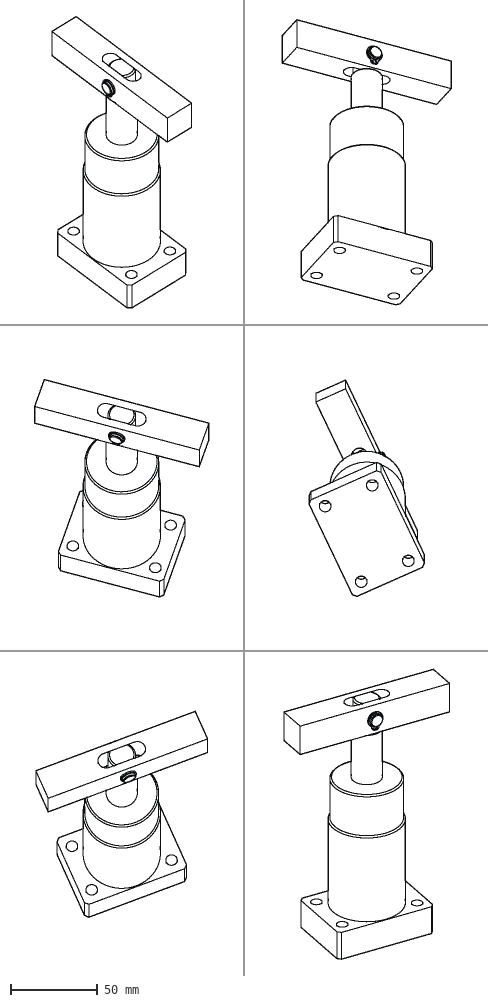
import cadquery as cq

base_length = 64.0
base_width = 46.0
base_height = 18.0
corner_chamfer = 2.0
bolt_hole_diameter = 6.7
bolt_spacing_x = 50.0
bolt_spacing_y = 30.0
barrel_diameter = 45.0
barrel_top = 75.0
head_diameter = 43.0
head_top = 102.0
edge_chamfer = (barrel_diameter - head_diameter) / 2

overall_height = 155.0
arm_length = 100.0
arm_size = 19.0
arm_bottom = overall_height - arm_size
slot_length = 29.0
slot_width = 9.5

rod_diameter = 18.1
tongue_diameter = rod_diameter - 2 * edge_chamfer

pin_diameter = 8.0
pin_length = 24.3
pin_chamfer = 0.5
pin_height = arm_bottom + arm_size / 2

clip_thickness = 0.85
clip_clearance = 0.08
clip_diameter = 9.8
lug_width = 4.6
lug_reach = 7.1
lug_hole_diameter = 2.3
lug_hole_drop = 5.5
lug_gap = 1.0


def cylinder(diameter, bottom, top):
    """Upright cylinder on the main axis."""
    return cq.Workplane("XY").workplane(offset=bottom).circle(diameter / 2).extrude(top - bottom)


def cross_cylinder(diameter, length):
    """Cylinder along Y on the pin axis, centred on the arm."""
    return (
        cq.Workplane("XZ", origin=(0, length / 2, pin_height))
        .circle(diameter / 2)
        .extrude(length)
    )


def make_housing():
    base = (
        cq.Workplane("XY")
        .box(base_length, base_width, base_height, centered=(True, True, False))
        .edges("|Z")
        .chamfer(corner_chamfer)
        .faces(">Z")
        .workplane()
        .rect(bolt_spacing_x, bolt_spacing_y, forConstruction=True)
        .vertices()
        .hole(bolt_hole_diameter)
    )
    barrel = cylinder(barrel_diameter, base_height, barrel_top).faces(">Z").chamfer(edge_chamfer)
    head = cylinder(head_diameter, barrel_top, head_top).faces(">Z").chamfer(edge_chamfer)
    return base.union(barrel).union(head)


def make_rod():
    shaft = cylinder(rod_diameter, head_top, arm_bottom).faces(">Z").chamfer(edge_chamfer)
    tongue_slab = (
        cq.Workplane("XY")
        .workplane(offset=arm_bottom)
        .rect(rod_diameter, slot_width)
        .extrude(overall_height - arm_bottom)
    )
    tongue = (
        cylinder(tongue_diameter, arm_bottom, overall_height)
        .faces(">Z")
        .chamfer(edge_chamfer)
        .intersect(tongue_slab)
    )
    return shaft.union(tongue).cut(cross_cylinder(pin_diameter, pin_length))


def make_arm():
    slot = (
        cq.Workplane("XY")
        .workplane(offset=arm_bottom)
        .slot2D(slot_length, slot_width)
        .extrude(arm_size)
    )
    return (
        cq.Workplane("XY")
        .workplane(offset=arm_bottom)
        .rect(arm_length, arm_size)
        .extrude(arm_size)
        .cut(slot)
        .cut(cross_cylinder(pin_diameter, pin_length))
    )


def make_pin():
    return cross_cylinder(pin_diameter, pin_length).faces("<Y or >Y").chamfer(pin_chamfer)


def make_clip(upper_y):
    """Ring split below by a keyhole gap between two lugs, running from upper_y toward -Y."""
    plane = cq.Workplane("XZ", origin=(0, upper_y, pin_height))
    ring = plane.circle(clip_diameter / 2).extrude(clip_thickness)
    lug_end_radius = lug_width / 2
    lug = (
        plane.moveTo(-lug_width / 2, 0)
        .lineTo(-lug_width / 2, lug_end_radius - lug_reach)
        .threePointArc((0, -lug_reach), (lug_width / 2, lug_end_radius - lug_reach))
        .lineTo(lug_width / 2, 0)
        .close()
        .extrude(clip_thickness)
    )
    lug_hole = plane.center(0, -lug_hole_drop).circle(lug_hole_diameter / 2).extrude(clip_thickness)
    gap = plane.center(0, -lug_reach / 2).rect(lug_gap, lug_reach).extrude(clip_thickness)
    bore = plane.circle(pin_diameter / 2).extrude(clip_thickness)
    return ring.union(lug).cut(bore).cut(gap).cut(lug_hole)


housing = make_housing()
rod = make_rod()
arm = make_arm()
pin = make_pin()
clip_inner_y = arm_size / 2 + clip_clearance
clips = [make_clip(upper_y) for upper_y in (clip_inner_y + clip_thickness, -clip_inner_y)]

result = cq.Compound.makeCompound(
    [housing.val(), rod.val(), arm.val(), pin.val(), *[clip.val() for clip in clips]]
)